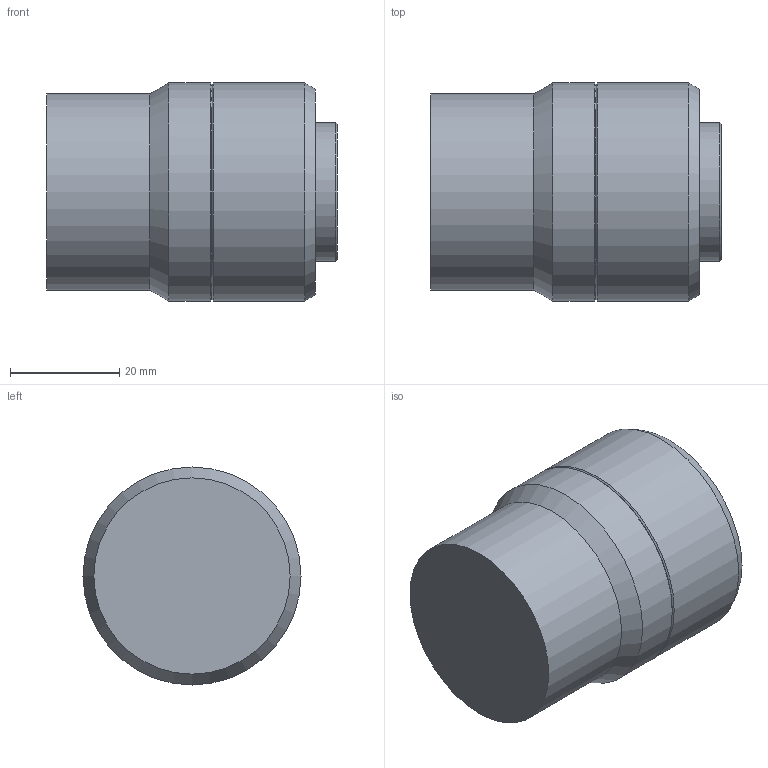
import cadquery as cq
import math

neck_radius = 18.0
body_radius = 20.0
boss_radius = 12.75

neck_length = 18.9
groove_start = 30.05
body_end = 49.3
total_length = 53.3

cone_angle = 30.0
end_cone_length = 2.0
groove_width = 0.5
groove_depth = 0.25
boss_chamfer = 0.3

slope = math.tan(math.radians(cone_angle))
shoulder_end = neck_length + (body_radius - neck_radius) / slope
end_cone_start = body_end - end_cone_length
end_cone_radius = body_radius - end_cone_length * slope


def revolve_about_x(points):
    """Solid of revolution about X from a closed (x, radius) outline."""
    outline = cq.Workplane("XZ").polyline(points).close()
    return outline.revolve(360, (0, 0, 0), (1, 0, 0))


def make_body():
    """Neck, conical shoulder, main barrel with a sloped end, and end boss."""
    return revolve_about_x([
        (0, 0),
        (0, neck_radius),
        (neck_length, neck_radius),
        (shoulder_end, body_radius),
        (end_cone_start, body_radius),
        (body_end, end_cone_radius),
        (body_end, boss_radius),
        (total_length - boss_chamfer, boss_radius),
        (total_length, boss_radius - boss_chamfer),
        (total_length, 0),
    ])


def make_groove():
    """Ring that cuts the shallow V-groove around the barrel."""
    clearance = groove_depth
    groove_end = groove_start + groove_width
    return revolve_about_x([
        (groove_start, body_radius + clearance),
        (groove_start, body_radius),
        (groove_start + groove_width / 2, body_radius - groove_depth),
        (groove_end, body_radius),
        (groove_end, body_radius + clearance),
    ])


result = make_body().cut(make_groove())